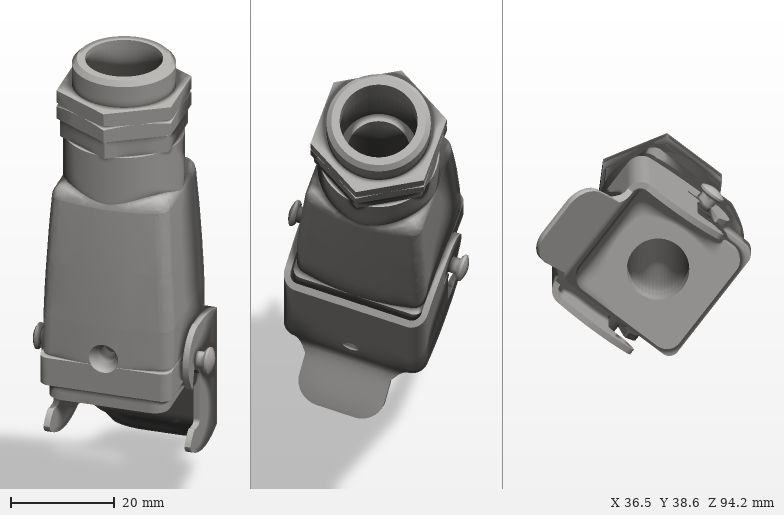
import cadquery as cq
import math


COS_45 = math.cos(math.radians(45))
COS_30 = math.cos(math.radians(30))

OVERALL_HEIGHT = 94.2
PIN_SPAN = 36.5
LEVER_TIP_Y = 25.2
TOP_Z = 66.5
BOTTOM_Z = TOP_Z - OVERALL_HEIGHT

FLANGE_X = 26.6
FLANGE_Y = 26.8
FLANGE_HEIGHT = 5.9
FLANGE_RADIUS = 2.0
INSERT_SIZE = 24.3
INSERT_HEIGHT = 3.5
INSERT_RADIUS = 3.1
HOOD_STRAIGHT_Z = 14.4
HOOD_MID_Z = 28.3
HOOD_TOP_Z = 42.0
HOOD_FOOT = (13.2, 13.4)
HOOD_MID = (12.5, 13.0)
HOOD_TOP = (11.7, 11.9)
HOOD_CORNER = 3.0
CORNER_SQUASH = 0.75
FRONT_BULGE = 1.2
SHOULDER_RADIUS = 2.8

COLLAR_RADIUS = 11.8
LOWER_HEX_Z = 51.0
LOWER_HEX_TOP_Z = 54.6
LOWER_HEX_FLATS = 22.0
NUT_Z = 54.9
NUT_TOP_Z = 61.1
NUT_FLATS = 23.2
NUT_BEVEL = 0.5
TUBE_RADIUS = 10.1
TUBE_CHAMFER = 0.9
NECK_RADIUS = 10.55
BORE_RADIUS = 7.5
CABLE_RADIUS = 6.0

SCREW_Z = 7.5
SCREW_RADIUS = 1.6
SINK_RADIUS = 3.0
SINK_DEPTH = 2.4
SCREW_DEPTH = 6.1

PIN_Z = 3.1
PIN_RADIUS = 1.6
HEAD_RADIUS = 2.6
HEAD_INNER_X = 16.5
HEAD_BEVEL = 0.5
HEAD_RIM = 0.5
WASHER_RADIUS = 3.2
WASHER_THICKNESS = 0.5
PIN_EMBED = 0.9

SHEET = 1.2
LEVER_HALF_WIDTH = 14.6
LEVER_BACK_Y = 16.2
LEVER_BEND = 3.1
LEVER_SPLAY = 0.3
LEVER_FRONT_Y = -5.9
LEVER_FOOT_Z = -18.0
LEVER_SHOULDER_Z = 6.0
LEVER_CROWN_Z = 10.0
LEVER_INNER_Y = 1.7
HOOK_TOP_Z = -11.8
HOOK_FILLET = 0.85
BEAK_Z = -1.9
LEVER_HOLE_Z = -14.0
LEVER_HOLE_RADIUS = 1.6
SLOT_Z = 2.4
SLOT_HEIGHT = 1.4
SLOT_END_Y = 4.0

TAB_ANGLE = 41
TAB_ROOT_WIDTH = 23.0
TAB_WIDTH = 17.4
TAB_NECK_Z = -20.5
TAB_CORNER = 4.9
TAB_BEND = 2.1


def block(x, y, z, height, radius):
    return cq.Workplane("XY").workplane(offset=z).rect(x, y).extrude(height).edges("|Z").fillet(radius)


def disc(radius, z, top):
    return cq.Workplane("XY").workplane(offset=z).circle(radius).extrude(top - z)


def hood_section(z, half):
    """Rectangle with rounded corners, its front and back bowed outward."""
    hx, hy = half
    end_y = hy - FRONT_BULGE
    cx = hx - CORNER_SQUASH * HOOD_CORNER
    cy = end_y - HOOD_CORNER
    mx = cx + (hx - cx) * COS_45
    my = cy + (end_y - cy) * COS_45
    return (
        cq.Workplane("XY")
        .workplane(offset=z)
        .moveTo(hx, -cy)
        .lineTo(hx, cy)
        .threePointArc((mx, my), (cx, end_y))
        .threePointArc((0, hy), (-cx, end_y))
        .threePointArc((-mx, my), (-hx, cy))
        .lineTo(-hx, -cy)
        .threePointArc((-mx, -my), (-cx, -end_y))
        .threePointArc((0, -hy), (cx, -end_y))
        .threePointArc((mx, -my), (hx, -cy))
        .close()
    )


def make_hood():
    foot = hood_section(0, HOOD_FOOT).extrude(HOOD_STRAIGHT_Z)
    sections = [
        hood_section(HOOD_STRAIGHT_Z, HOOD_FOOT).val(),
        hood_section(HOOD_MID_Z, HOOD_MID).val(),
        hood_section(HOOD_TOP_Z, HOOD_TOP).val(),
    ]
    taper = cq.Workplane(cq.Solid.makeLoft(sections))
    taper = taper.faces(">Z").edges().fillet(SHOULDER_RADIUS)
    flange = block(FLANGE_X, FLANGE_Y, 0, FLANGE_HEIGHT, FLANGE_RADIUS)
    insert = block(INSERT_SIZE, INSERT_SIZE, -INSERT_HEIGHT, INSERT_HEIGHT, INSERT_RADIUS)
    return foot.union(taper).union(flange).union(insert)


def hexagon(flats, z, top):
    """Hexagonal prism with two corners on the Y axis."""
    corners = flats / COS_30
    prism = cq.Workplane("XY").workplane(offset=z).polygon(6, corners).extrude(top - z)
    return prism.rotate((0, 0, 0), (0, 0, 1), 30)


def make_gland():
    tube = disc(TUBE_RADIUS, NUT_TOP_Z, TOP_Z).faces(">Z").chamfer(TUBE_CHAMFER)
    nut_mid = (NUT_Z + NUT_TOP_Z) / 2
    corner_radius = NUT_FLATS / 2 / COS_30
    bevel_radius = NUT_FLATS / 2
    profile = [
        (0, NUT_Z),
        (corner_radius, NUT_Z),
        (corner_radius, nut_mid - NUT_BEVEL),
        (bevel_radius, nut_mid),
        (corner_radius, nut_mid + NUT_BEVEL),
        (corner_radius, NUT_TOP_Z),
        (0, NUT_TOP_Z),
    ]
    envelope = cq.Workplane("XZ").polyline(profile).close().revolve(360, (0, 0, 0), (0, 1, 0))
    nut = hexagon(NUT_FLATS, NUT_Z, NUT_TOP_Z).intersect(envelope)
    return (
        disc(COLLAR_RADIUS, FLANGE_HEIGHT, LOWER_HEX_Z)
        .union(hexagon(LOWER_HEX_FLATS, LOWER_HEX_Z, LOWER_HEX_TOP_Z))
        .union(disc(NECK_RADIUS, LOWER_HEX_Z, NUT_TOP_Z))
        .union(nut)
        .union(tube)
    )


def make_bore():
    return disc(CABLE_RADIUS, -INSERT_HEIGHT, TOP_Z).union(disc(BORE_RADIUS, LOWER_HEX_Z, TOP_Z))


def make_screw_recess():
    face_y = -FLANGE_Y / 2
    profile = [
        (0, face_y),
        (SINK_RADIUS, face_y),
        (SCREW_RADIUS, face_y + SINK_DEPTH),
        (SCREW_RADIUS, face_y + SCREW_DEPTH),
        (0, face_y + SCREW_DEPTH),
    ]
    recess = cq.Workplane("XY").polyline(profile).close().revolve(360, (0, 0, 0), (0, 1, 0))
    return recess.translate((0, 0, SCREW_Z))


def make_pin():
    """Pivot pin on the +X side, with a domed head and a washer under the lever."""
    tip_x = PIN_SPAN / 2
    bevel_x = HEAD_INNER_X + HEAD_BEVEL
    rim_x = bevel_x + HEAD_RIM
    dome_angle = 2 * math.atan((tip_x - rim_x) / HEAD_RADIUS)
    dome_radius = HEAD_RADIUS / math.sin(dome_angle)
    dome_mid = (
        tip_x - dome_radius * (1 - math.cos(dome_angle / 2)),
        dome_radius * math.sin(dome_angle / 2),
    )
    root_x = FLANGE_X / 2 - PIN_EMBED
    washer_x = FLANGE_X / 2 + WASHER_THICKNESS
    pin = (
        cq.Workplane("XY")
        .moveTo(root_x, 0)
        .lineTo(root_x, WASHER_RADIUS)
        .lineTo(washer_x, WASHER_RADIUS)
        .lineTo(washer_x, PIN_RADIUS)
        .lineTo(HEAD_INNER_X, PIN_RADIUS)
        .lineTo(HEAD_INNER_X, HEAD_RADIUS - HEAD_BEVEL)
        .lineTo(bevel_x, HEAD_RADIUS)
        .lineTo(rim_x, HEAD_RADIUS)
        .threePointArc(dome_mid, (tip_x, 0))
        .close()
        .revolve(360, (0, 0, 0), (1, 0, 0))
    )
    return pin.translate((0, 0, PIN_Z))


def lever_side_outline():
    """Side shape of the lever: rounded head, open pin notch and hooked foot."""
    fillet_mid_y = LEVER_INNER_Y - HOOK_FILLET * (1 - COS_45)
    fillet_mid_z = HOOK_TOP_Z + HOOK_FILLET * (1 - COS_45)
    bend_y = LEVER_BACK_Y - LEVER_BEND
    return (
        cq.Workplane("YZ")
        .moveTo(LEVER_BACK_Y, LEVER_FOOT_Z)
        .lineTo(LEVER_BACK_Y, LEVER_SHOULDER_Z)
        .threePointArc((9.1, 8.95), (1.9, LEVER_CROWN_Z))
        .threePointArc((-3.8, 8.5), (LEVER_FRONT_Y, 4.05))
        .threePointArc((-5.7, 1.9), (-4.7, 0))
        .lineTo(-3.6, BEAK_Z + 0.2)
        .threePointArc((-3.3, BEAK_Z), (-3.0, BEAK_Z + 0.2))
        .lineTo(-PIN_RADIUS, PIN_Z)
        .threePointArc((0, PIN_Z + PIN_RADIUS), (PIN_RADIUS, PIN_Z))
        .lineTo(1.1, 0)
        .lineTo(LEVER_INNER_Y, -0.9)
        .lineTo(LEVER_INNER_Y, HOOK_TOP_Z + HOOK_FILLET)
        .threePointArc((fillet_mid_y, fillet_mid_z), (LEVER_INNER_Y - HOOK_FILLET, HOOK_TOP_Z))
        .lineTo(-0.9, HOOK_TOP_Z)
        .threePointArc((-1.6, -11.5), (-2.3, -11.7))
        .threePointArc((-3.8, -12.8), (-4.6, -13.9))
        .threePointArc((-4.1, -15.0), (-3.2, -15.7))
        .threePointArc((6.9, -18.8), (bend_y, LEVER_FOOT_Z))
        .close()
    )


def channel_prism(half_width, bend, back_y):
    """Solid prism with two rounded back corners and sides that splay toward -Y."""
    flat_x = half_width - bend
    bend_y = back_y - bend
    mid_x = flat_x + bend * COS_45
    mid_y = bend_y + bend * COS_45
    return (
        cq.Workplane("XY")
        .workplane(offset=BOTTOM_Z)
        .moveTo(-half_width - LEVER_SPLAY, LEVER_FRONT_Y)
        .lineTo(-half_width, bend_y)
        .threePointArc((-mid_x, mid_y), (-flat_x, back_y))
        .lineTo(flat_x, back_y)
        .threePointArc((mid_x, mid_y), (half_width, bend_y))
        .lineTo(half_width + LEVER_SPLAY, LEVER_FRONT_Y)
        .close()
        .extrude(OVERALL_HEIGHT)
    )


def lever_channel():
    """U-shaped sheet, open toward -Y, taller than the lever cut from it."""
    outer = channel_prism(LEVER_HALF_WIDTH, LEVER_BEND, LEVER_BACK_Y)
    inner = channel_prism(LEVER_HALF_WIDTH - SHEET, LEVER_BEND - SHEET, LEVER_BACK_Y - SHEET)
    return outer.cut(inner)


def make_tab():
    """Thumb tab bent down and away from the back of the lever."""
    slope = math.radians(TAB_ANGLE)
    turn = math.pi / 2 - slope
    end_z = BOTTOM_Z + SHEET * math.cos(slope)
    bend_z = end_z + (LEVER_TIP_Y - LEVER_BACK_Y) * math.tan(slope)
    front_y = LEVER_BACK_Y - SHEET
    front_bend_z = bend_z - SHEET * math.tan(turn / 2)
    sheet = (
        cq.Workplane("YZ")
        .moveTo(LEVER_BACK_Y, LEVER_FOOT_Z)
        .lineTo(LEVER_BACK_Y, bend_z)
        .lineTo(LEVER_TIP_Y, end_z)
        .lineTo(LEVER_TIP_Y - SHEET * math.sin(slope), BOTTOM_Z)
        .lineTo(front_y, front_bend_z)
        .lineTo(front_y, LEVER_FOOT_Z)
        .close()
        .extrude(TAB_ROOT_WIDTH / 2, both=True)
    )
    back_bend = cq.selectors.NearestToPointSelector((0, LEVER_BACK_Y, bend_z))
    front_bend = cq.selectors.NearestToPointSelector((0, front_y, front_bend_z))
    sheet = sheet.edges(back_bend).fillet(TAB_BEND)
    sheet = sheet.edges(front_bend).fillet(TAB_BEND + SHEET)

    root_x = TAB_ROOT_WIDTH / 2
    tab_x = TAB_WIDTH / 2
    outline = (
        cq.Workplane("XZ")
        .moveTo(-root_x, LEVER_FOOT_Z)
        .lineTo(-tab_x, TAB_NECK_Z)
        .lineTo(-tab_x, BOTTOM_Z)
        .lineTo(tab_x, BOTTOM_Z)
        .lineTo(tab_x, TAB_NECK_Z)
        .lineTo(root_x, LEVER_FOOT_Z)
        .close()
        .extrude(-LEVER_TIP_Y)
    )
    across_sheet = cq.selectors.ParallelDirSelector(cq.Vector(0, math.sin(slope), math.cos(slope)))
    return sheet.intersect(outline).edges(across_sheet).edges(">Y").fillet(TAB_CORNER)


def make_lever():
    sides = lever_side_outline().extrude(PIN_SPAN / 2, both=True)
    slot = (
        cq.Workplane("YZ")
        .center(SLOT_END_Y / 2, SLOT_Z)
        .rect(SLOT_END_Y, SLOT_HEIGHT)
        .extrude(PIN_SPAN / 2, both=True)
    )
    hole = (
        cq.Workplane("XZ")
        .center(0, LEVER_HOLE_Z)
        .circle(LEVER_HOLE_RADIUS)
        .extrude(-LEVER_TIP_Y)
    )
    return lever_channel().intersect(sides).cut(slot).cut(hole).union(make_tab())


pin = make_pin()
result = (
    make_hood()
    .union(make_gland())
    .cut(make_bore())
    .cut(make_screw_recess())
    .union(make_lever())
    .union(pin)
    .union(pin.mirror("YZ"))
)